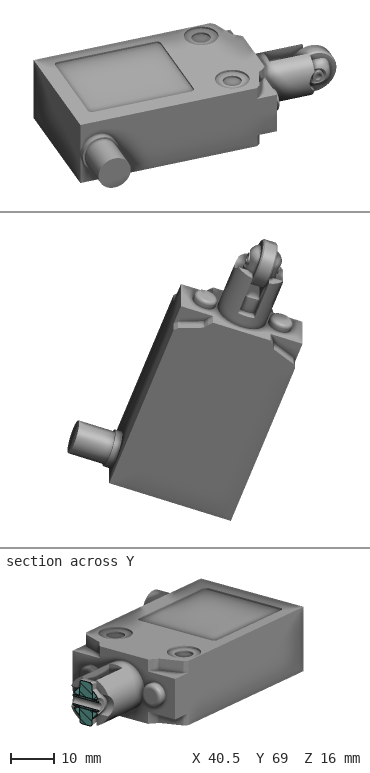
import cadquery as cq


OVERALL_LENGTH = 69.0

HOUSING_WIDTH = 30.0
HOUSING_LENGTH = 49.0
HOUSING_THICKNESS = 16.0
HALF_WIDTH = HOUSING_WIDTH / 2
TOP_Z = HOUSING_THICKNESS / 2

SHOULDER_DEPTH = 3.0
SHOULDER_PROFILE = [(7.05, 0), (8.0, 1.05), (8.6, 2.0), (14.2, 4.15), (HALF_WIDTH, 5.05)]

FACE_FEATURES_X = -0.7
MOUNT_SPACING = 20.0
MOUNT_Y = -9.0
MOUNT_OUTER_RADIUS = 4.0
MOUNT_INNER_RADIUS = 2.2
MOUNT_STEP = 0.5
LABEL_WIDTH = 23.05
LABEL_LENGTH = 26.35
LABEL_BOTTOM_MARGIN = 3.85
LABEL_CORNER_RADIUS = 1.05
LABEL_DEPTH = 0.5

OUTLET_BOTTOM_MARGIN = 4.5
OUTLET_Y = OUTLET_BOTTOM_MARGIN - HOUSING_LENGTH
COLLAR_RADIUS = 4.5
COLLAR_LENGTH = 1.65
COLLAR_END_X = HALF_WIDTH + COLLAR_LENGTH
CABLE_RADIUS = 4.0
OUTLET_LENGTH = 10.5

SCREW_SPACING = 18.6
SCREW_RADIUS = 2.8
SCREW_HEIGHT = 2.0
SCREW_ROUNDING = 1.0

GUIDE_RADIUS = 6.0
GUIDE_RING_HEIGHT = 3.1
GUIDE_END_Y = 13.05
PLUNGER_RADIUS = 4.0
PLUNGER_END_Y = 18.1
PLUNGER_ROUNDING = 2.1
GUIDE_SLOT_WIDTH = 4.0
PLUNGER_SLOT_WIDTH = 3.65
PLUNGER_SLOT_FLOOR_Y = 7.05
PIN_WINDOW_RADIUS = 3.0

ROLLER_RADIUS = 5.45
ROLLER_WIDTH = 3.5
ROLLER_EDGE_RADIAL = 0.35
ROLLER_EDGE_AXIAL = 0.35
ROLLER_Y = OVERALL_LENGTH - HOUSING_LENGTH - ROLLER_RADIUS
PIN_RADIUS = 1.4
PIN_BORE_RADIUS = 0.9
PIN_HALF_LENGTH = 3.9
PIN_HOLE_RADIUS = 1.5
PIN_HOLE_CHAMFER = 0.55


def cylinder_along_y(radius, start_y, end_y, x=0):
    return cq.Workplane("XZ", origin=(x, start_y, 0)).circle(radius).extrude(start_y - end_y)


def cylinder_along_x(radius, start_x, end_x, y):
    return cq.Workplane("YZ", origin=(start_x, y, 0)).circle(radius).extrude(end_x - start_x)


def slot_cutter(width, floor_y):
    length = PLUNGER_END_Y - floor_y
    block = cq.Workplane("XY").box(width, length, 2 * GUIDE_RADIUS)
    return block.translate((0, floor_y + length / 2, 0))


def cut_shoulders(body, side):
    outline = [(side * x, -depth) for x, depth in SHOULDER_PROFILE]
    outline.append((side * HALF_WIDTH, 0))
    for base_z in (-TOP_Z, TOP_Z - SHOULDER_DEPTH):
        shoulder = cq.Workplane("XY", origin=(0, 0, base_z)).polyline(outline).close()
        body = body.cut(shoulder.extrude(SHOULDER_DEPTH))
    return body


def cut_mount_recess(body, side):
    mount_x = FACE_FEATURES_X + side * MOUNT_SPACING / 2
    mount = cq.Workplane("XY", origin=(mount_x, MOUNT_Y, TOP_Z))
    body = body.cut(mount.circle(MOUNT_OUTER_RADIUS).extrude(-MOUNT_STEP))
    return body.cut(mount.circle(MOUNT_INNER_RADIUS).extrude(-2 * MOUNT_STEP))


def cut_label_recess(body):
    label_y = -HOUSING_LENGTH + LABEL_BOTTOM_MARGIN + LABEL_LENGTH / 2
    label = cq.Workplane("XY", origin=(FACE_FEATURES_X, label_y, TOP_Z)).rect(LABEL_WIDTH, LABEL_LENGTH)
    return body.cut(label.extrude(-LABEL_DEPTH).edges("|Z").fillet(LABEL_CORNER_RADIUS))


def make_housing():
    body = cq.Workplane("XY").box(HOUSING_WIDTH, HOUSING_LENGTH, HOUSING_THICKNESS)
    body = body.translate((0, -HOUSING_LENGTH / 2, 0))
    for side in (-1, 1):
        body = cut_shoulders(body, side)
        body = cut_mount_recess(body, side)
    return cut_label_recess(body)


def make_collar():
    return cylinder_along_x(COLLAR_RADIUS, HALF_WIDTH, COLLAR_END_X, OUTLET_Y)


def make_cable():
    return cylinder_along_x(CABLE_RADIUS, COLLAR_END_X, HALF_WIDTH + OUTLET_LENGTH, OUTLET_Y)


def make_screw(x):
    return cylinder_along_y(SCREW_RADIUS, 0, SCREW_HEIGHT, x).faces(">Y").edges().fillet(SCREW_ROUNDING)


def make_guide():
    guide = cylinder_along_y(GUIDE_RADIUS, 0, GUIDE_RING_HEIGHT)
    fork = cylinder_along_y(GUIDE_RADIUS, GUIDE_RING_HEIGHT, GUIDE_END_Y)
    fork = fork.cut(slot_cutter(GUIDE_SLOT_WIDTH, GUIDE_RING_HEIGHT))
    fork = fork.cut(cylinder_along_x(PIN_WINDOW_RADIUS, -GUIDE_RADIUS, GUIDE_RADIUS, ROLLER_Y))
    guide = guide.union(fork, clean=False)
    bore = cylinder_along_y(PLUNGER_RADIUS, 0, GUIDE_END_Y)
    return guide.cut(bore, clean=False)


def make_plunger():
    plunger = cylinder_along_y(PLUNGER_RADIUS, 0, PLUNGER_END_Y)
    plunger = plunger.faces(">Y").edges().fillet(PLUNGER_ROUNDING)
    plunger = plunger.cut(cylinder_along_x(PIN_HOLE_RADIUS, -PLUNGER_RADIUS, PLUNGER_RADIUS, ROLLER_Y))
    plunger = plunger.edges("%BSPLINE").chamfer(PIN_HOLE_CHAMFER)
    return plunger.cut(slot_cutter(PLUNGER_SLOT_WIDTH, PLUNGER_SLOT_FLOOR_Y))


def make_roller():
    half = ROLLER_WIDTH / 2
    rim_x = half - ROLLER_EDGE_AXIAL
    face_radius = ROLLER_RADIUS - ROLLER_EDGE_RADIAL
    profile = [
        (-half, PIN_RADIUS),
        (-half, face_radius),
        (-rim_x, ROLLER_RADIUS),
        (rim_x, ROLLER_RADIUS),
        (half, face_radius),
        (half, PIN_RADIUS),
    ]
    ring = cq.Workplane("XY").polyline(profile).close().revolve(360, (0, 0, 0), (1, 0, 0))
    return ring.translate((0, ROLLER_Y, 0))


def make_pin():
    pin = cylinder_along_x(PIN_RADIUS, -PIN_HALF_LENGTH, PIN_HALF_LENGTH, ROLLER_Y)
    return pin.cut(cylinder_along_x(PIN_BORE_RADIUS, -PIN_HALF_LENGTH, PIN_HALF_LENGTH, ROLLER_Y))


housing = make_housing()
collar = make_collar()
cable = make_cable()
screws = [make_screw(side * SCREW_SPACING / 2) for side in (-1, 1)]
guide = make_guide()
plunger = make_plunger()
roller = make_roller()
pin = make_pin()
result = cq.Compound.makeCompound(
    [
        housing.val(),
        collar.val(),
        cable.val(),
        *[screw.val() for screw in screws],
        guide.val(),
        plunger.val(),
        roller.val(),
        pin.val(),
    ]
)